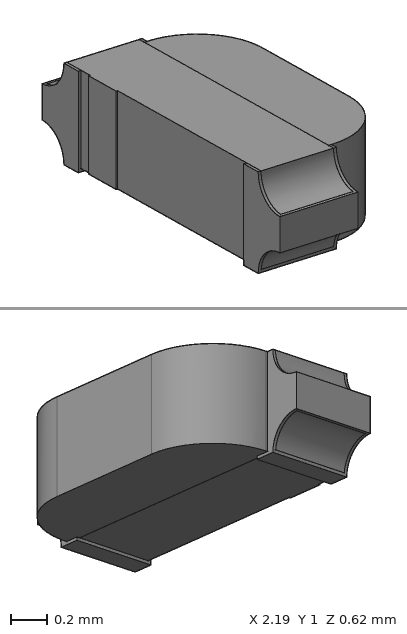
import cadquery as cq

overall_length = 2.19
overall_depth = 1.0
overall_height = 0.62

plating = 0.02
terminal_width = 0.333
notch_radius = 0.2

substrate_length = overall_length - 2 * plating
substrate_depth = 0.502
substrate_height = overall_height - plating
substrate_front = plating
substrate_back = substrate_front + substrate_depth
terminal_depth = substrate_depth + 2 * plating

mark_width = 0.252
mark_thickness = 0.01
mark_end_distance = 0.416
mark_left = -overall_length / 2 + mark_end_distance

lens_width = 1.7
lens_depth = overall_depth - substrate_back
lens_corner_radius = 0.45


def block(x_left, y_front, z_bottom, length, depth, height):
    """Box placed by its left, front, bottom corner."""
    return cq.Workplane("XY").box(length, depth, height, centered=False).translate((x_left, y_front, z_bottom))


def make_notches():
    """Quarter-round grooves along Y at the four lengthwise edges of the ends."""
    edge_points = [
        (x, z)
        for x in (-overall_length / 2, overall_length / 2)
        for z in (0, overall_height)
    ]
    return cq.Workplane("XZ").pushPoints(edge_points).circle(notch_radius).extrude(-terminal_depth)


def make_substrate_block():
    """Plain substrate block before the mark and the notches."""
    return block(
        -substrate_length / 2, substrate_front, plating,
        substrate_length, substrate_depth, substrate_height,
    )


def make_substrate():
    """Substrate with its polarity mark and notched ends."""
    mark = block(
        mark_left, substrate_front - mark_thickness, plating,
        mark_width, mark_thickness, substrate_height,
    )
    return make_substrate_block().union(mark).cut(make_notches())


def make_lens():
    """Lens with two large round corners at its back."""
    lens_block = block(
        -lens_width / 2, substrate_back, plating,
        lens_width, lens_depth, substrate_height,
    )
    return lens_block.edges("|Z and >Y").fillet(lens_corner_radius)


def make_terminal(x_left):
    """Plating cap wrapped around one end of the substrate, open at the top."""
    envelope = block(x_left, 0, 0, terminal_width, terminal_depth, overall_height)
    return envelope.cut(make_substrate_block()).cut(make_lens()).cut(make_notches())


substrate = make_substrate()
lens = make_lens()
terminals = [
    make_terminal(x_left)
    for x_left in (-overall_length / 2, overall_length / 2 - terminal_width)
]

bodies = [substrate, lens, *terminals]
result = cq.Compound.makeCompound([body.solids().val() for body in bodies])